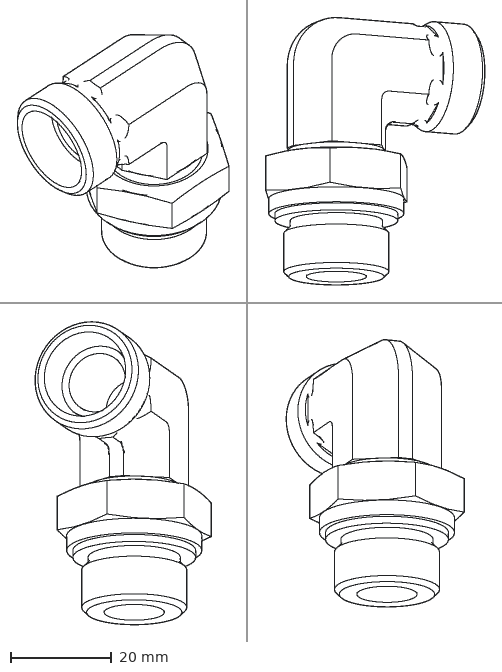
import cadquery as cq
import math


OVERALL_HEIGHT = 53.0
SOCKET_DIA = 22.0
SOCKET_AXIS_Z = OVERALL_HEIGHT - SOCKET_DIA / 2
SOCKET_FACE_Y = -28.0

BLOCK_FLATS = 19.05
BLOCK_CUT_HALF = 10.1
BLOCK_BASE_Z = 25.5
INNER_CORNER_FILLET = 2.0

SOCKET_SHOULDER_Y = -18.9
SOCKET_RIM_CHAMFER = 1.0
SOCKET_BACK_SLOPE = math.radians(30)
SOCKET_BACK_TOP_Y = -20.55
SOCKET_MOUTH_DIA = 17.3
SOCKET_TUBE_DIA = 15.0
SOCKET_TAPER = math.radians(12)
SOCKET_DEPTH = 7.0

GROOVE_DIA = 19.65
GROOVE_START_Y = -16.9
GROOVE_FILLET = 1.0
GROOVE_CLEARANCE_RADIUS = 13.25

BORE_DIA = 12.0
DRILL_TIP_HALF_ANGLE = math.radians(59)

THREAD_DIA = 20.95
THREAD_FOOT_DIA = 19.0
THREAD_TOP_Z = 8.75
NECK_DIA = 18.4
NECK_FILLET_DIA = 18.65
UPPER_THREAD_TOP_Z = 22.35
NECK_HEAD_DIA = 19.25

NUT_FLATS = 27.0
NUT_COLLAR_DIA = 26.9
NUT_BOTTOM_Z = 12.7
NUT_HEX_BOTTOM_Z = 15.75
NUT_TOP_Z = 23.8
NUT_CHAMFER_SLOPE = math.radians(15)
NUT_MOUTH_DIA = 21.5
NUT_MOUTH_SLOPE = math.radians(30)

RING_DIA = 24.5
RING_BOTTOM_Z = 11.3


def hex_corner_radius(across_flats):
    return across_flats / math.sqrt(3)


def revolve_about_z(profile):
    """Revolve a closed (radius, z) profile, drawn in the XZ plane, about the Z axis."""
    return profile.close().revolve(360, (0, 0, 0), (0, 1, 0))



def block_half_outline():
    """Corners of the +Y half of the block section, from the +X flat round to the -X flat."""
    flat_x = BLOCK_FLATS / 2
    side_y = hex_corner_radius(BLOCK_FLATS) / 2
    cut_x = (hex_corner_radius(BLOCK_FLATS) - BLOCK_CUT_HALF) * math.tan(math.radians(60))
    return [
        (flat_x, side_y),
        (cut_x, BLOCK_CUT_HALF),
        (-cut_x, BLOCK_CUT_HALF),
        (-flat_x, side_y),
    ]


def block_leg(plane, length):
    """Straight leg of the block, extruded from the given plane."""
    upper_half = block_half_outline()
    lower_half = [(-x, -y) for x, y in upper_half]
    return cq.Workplane(plane).polyline(upper_half + lower_half).close().extrude(length)


def make_block():
    """Two hexagonal legs joined by a rounded back and a filleted inner corner."""
    upright = block_leg(cq.Plane.XY(origin=(0, 0, BLOCK_BASE_Z)), SOCKET_AXIS_Z - BLOCK_BASE_Z)
    level = block_leg(cq.Plane.XZ(origin=(0, 0, SOCKET_AXIS_Z)), -SOCKET_SHOULDER_Y)
    half_width = BLOCK_FLATS / 2
    back = (
        cq.Workplane(cq.Plane.XY(origin=(0, 0, SOCKET_AXIS_Z)))
        .polyline([(half_width, 0)] + block_half_outline() + [(-half_width, 0)])
        .close()
        .revolve(90, (0, 0, 0), (1, 0, 0))
    )
    block = upright.union(level).union(back)
    near = hex_corner_radius(BLOCK_FLATS) / 2
    far = BLOCK_CUT_HALF + INNER_CORNER_FILLET
    inner_corner = cq.selectors.BoxSelector(
        (-half_width, -far, SOCKET_AXIS_Z - far),
        (half_width, -near, SOCKET_AXIS_Z - near),
    )
    return block.edges(inner_corner).fillet(INNER_CORNER_FILLET)


def along_socket(shape):
    """Turn a shape revolved about Z so that its +Z points to -Y along the socket axis."""
    return shape.rotate((0, 0, 0), (1, 0, 0), 90).translate((0, 0, SOCKET_AXIS_Z))


def socket_back_radius(distance):
    """Radius of the cone behind the socket at a distance along the socket axis."""
    return SOCKET_DIA / 2 - (-SOCKET_BACK_TOP_Y - distance) * math.tan(SOCKET_BACK_SLOPE)


def make_socket_end():
    """Round socket body with a conical back and a chamfered rim."""
    shoulder = -SOCKET_SHOULDER_Y
    face = -SOCKET_FACE_Y
    radius = SOCKET_DIA / 2
    profile = cq.Workplane("XZ").polyline([
        (0, shoulder),
        (socket_back_radius(shoulder), shoulder),
        (radius, -SOCKET_BACK_TOP_Y),
        (radius, face - SOCKET_RIM_CHAMFER),
        (radius - SOCKET_RIM_CHAMFER, face),
        (0, face),
    ])
    return along_socket(revolve_about_z(profile))


def make_groove_cutter():
    """Ring that trims the block corners to a round groove, filleted on both sides of its floor."""
    floor = GROOVE_DIA / 2
    start = -GROOVE_START_Y
    shoulder = -SOCKET_SHOULDER_Y
    shoulder_radius = socket_back_radius(shoulder)
    arc_centre_radius = floor + GROOVE_FILLET
    end_angle = math.acos((arc_centre_radius - shoulder_radius) / GROOVE_FILLET)
    floor_end = shoulder - GROOVE_FILLET * math.sin(end_angle)
    start_mid = GROOVE_FILLET * math.sqrt(0.5)
    end_mid_radius = arc_centre_radius - GROOVE_FILLET * math.cos(end_angle / 2)
    end_mid = floor_end + GROOVE_FILLET * math.sin(end_angle / 2)
    profile = (
        cq.Workplane("XZ")
        .moveTo(arc_centre_radius, start - GROOVE_FILLET)
        .threePointArc((arc_centre_radius - start_mid, start - start_mid), (floor, start))
        .lineTo(floor, floor_end)
        .threePointArc((end_mid_radius, end_mid), (shoulder_radius, shoulder))
        .lineTo(GROOVE_CLEARANCE_RADIUS, shoulder)
        .lineTo(GROOVE_CLEARANCE_RADIUS, start - GROOVE_FILLET)
    )
    return along_socket(revolve_about_z(profile))


def make_shank():
    """Solid threaded shank: lower thread, neck, upper thread inside the nut, neck under the block."""
    thread = THREAD_DIA / 2
    neck = NECK_DIA / 2
    fillet_edge = NECK_FILLET_DIA / 2
    head = NECK_HEAD_DIA / 2
    foot = THREAD_FOOT_DIA / 2
    cone_angle = math.radians(45)
    cone_height = thread - fillet_edge
    fillet_radius = (fillet_edge - neck) / (1 - math.cos(cone_angle))
    fillet_height = fillet_radius * math.sin(cone_angle)
    mid_angle = cone_angle / 2
    mid_radius = neck + fillet_radius * (1 - math.cos(mid_angle))
    mid_height = fillet_radius * math.sin(mid_angle)
    lower_neck_z = THREAD_TOP_Z + cone_height + fillet_height
    upper_neck_z = UPPER_THREAD_TOP_Z + cone_height + fillet_height
    neck_head_z = BLOCK_BASE_Z - (head - fillet_edge) - fillet_height
    profile = (
        cq.Workplane("XZ")
        .moveTo(0, 0)
        .lineTo(foot, 0)
        .lineTo(thread, thread - foot)
        .lineTo(thread, THREAD_TOP_Z)
        .lineTo(fillet_edge, THREAD_TOP_Z + cone_height)
        .threePointArc((mid_radius, lower_neck_z - mid_height), (neck, lower_neck_z))
        .lineTo(neck, NUT_BOTTOM_Z)
        .lineTo(thread, NUT_BOTTOM_Z)
        .lineTo(thread, UPPER_THREAD_TOP_Z)
        .lineTo(fillet_edge, UPPER_THREAD_TOP_Z + cone_height)
        .threePointArc((mid_radius, upper_neck_z - mid_height), (neck, upper_neck_z))
        .lineTo(neck, neck_head_z)
        .threePointArc((mid_radius, neck_head_z + mid_height), (fillet_edge, neck_head_z + fillet_height))
        .lineTo(head, BLOCK_BASE_Z)
        .lineTo(0, BLOCK_BASE_Z)
    )
    return revolve_about_z(profile)


def drilled_bore(length):
    """Drill shape along Z: a cylinder of the given length below Z = 0 and a conical tip above it."""
    radius = BORE_DIA / 2
    tip_height = radius / math.tan(DRILL_TIP_HALF_ANGLE)
    profile = cq.Workplane("XZ").polyline([(0, -length), (radius, -length), (radius, 0), (0, tip_height)])
    return revolve_about_z(profile)


def make_passage():
    """Two bores drilled from the shank foot and the socket face, meeting at the elbow centre."""
    upright = drilled_bore(SOCKET_AXIS_Z).translate((0, 0, SOCKET_AXIS_Z))
    level = drilled_bore(-SOCKET_FACE_Y).rotate((0, 0, 0), (1, 0, 0), -90).translate((0, 0, SOCKET_AXIS_Z))
    return upright.union(level)


def make_tube_seat():
    """Tapered mouth and short tube counterbore in the socket face."""
    face = -SOCKET_FACE_Y
    mouth = SOCKET_MOUTH_DIA / 2
    tube = SOCKET_TUBE_DIA / 2
    taper_depth = (mouth - tube) / math.tan(SOCKET_TAPER)
    profile = cq.Workplane("XZ").polyline([
        (0, face),
        (mouth, face),
        (tube, face - taper_depth),
        (tube, face - SOCKET_DEPTH),
        (0, face - SOCKET_DEPTH),
    ])
    return along_socket(revolve_about_z(profile))


def make_elbow(shank):
    block = make_block().cut(make_groove_cutter())
    body = block.union(make_socket_end()).union(shank)
    return body.cut(make_passage()).cut(make_tube_seat())



def make_nut(shank):
    """Hexagon chamfered at both ends, with a round collar below and a countersunk mouth on top."""
    corner = hex_corner_radius(NUT_FLATS)
    collar = NUT_COLLAR_DIA / 2
    chamfer = (corner - collar) * math.tan(NUT_CHAMFER_SLOPE)
    hexagon = (
        cq.Workplane("XY", origin=(0, 0, NUT_HEX_BOTTOM_Z))
        .transformed(rotate=(0, 0, 90))
        .polygon(6, 2 * corner)
        .extrude(NUT_TOP_Z - NUT_HEX_BOTTOM_Z)
    )
    chamfered_round = revolve_about_z(cq.Workplane("XZ").polyline([
        (0, NUT_HEX_BOTTOM_Z),
        (collar, NUT_HEX_BOTTOM_Z),
        (corner, NUT_HEX_BOTTOM_Z + chamfer),
        (corner, NUT_TOP_Z - chamfer),
        (collar, NUT_TOP_Z),
        (0, NUT_TOP_Z),
    ]))
    collar_disc = (
        cq.Workplane("XY", origin=(0, 0, NUT_BOTTOM_Z))
        .circle(collar)
        .extrude(NUT_HEX_BOTTOM_Z - NUT_BOTTOM_Z)
    )
    mouth = NUT_MOUTH_DIA / 2
    mouth_cone = revolve_about_z(cq.Workplane("XZ").polyline([
        (0, NUT_TOP_Z),
        (mouth, NUT_TOP_Z),
        (0, NUT_TOP_Z - mouth * math.tan(NUT_MOUTH_SLOPE)),
    ]))
    blank = hexagon.intersect(chamfered_round).union(collar_disc)
    return blank.cut(mouth_cone).cut(shank)



def make_seal_ring():
    """Flat ring around the neck, between the lower thread and the nut."""
    return (
        cq.Workplane("XY", origin=(0, 0, RING_BOTTOM_Z))
        .circle(RING_DIA / 2)
        .circle(NECK_DIA / 2)
        .extrude(NUT_BOTTOM_Z - RING_BOTTOM_Z)
    )


shank = make_shank()
elbow = make_elbow(shank)
nut = make_nut(shank)
seal_ring = make_seal_ring()

bodies = [elbow, nut, seal_ring]
result = cq.Compound.makeCompound([body.solids().val() for body in bodies])